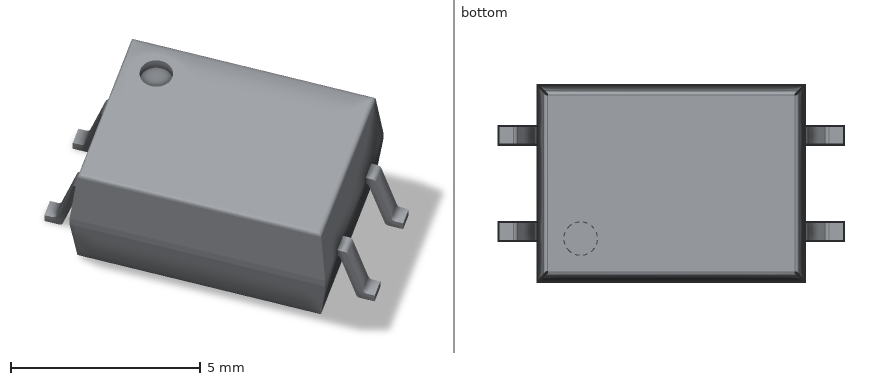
import cadquery as cq
import math

overall_length = 9.14
lead_thickness = 0.25
lead_width = 0.5
lead_pitch = 2.54
lead_top = 1.81
lead_lean = 17.2
foot_length = 0.3
lead_bend_radius = 0.12
shoulder_inner_radius = 0.07
bend_search_margin = 0.01

body_length = 7.07
body_width = 5.2
body_top = 3.5
body_standoff = 0.05
wall_inset = 0.17
edge_radius = 0.1

mark_diameter = 0.89
mark_depth = 0.31
mark_edge_distance = 1.14

band_bottom = lead_top - lead_thickness


def tapered_half(start_height, end_height):
    """Half of the housing, narrowing from the parting band to a rounded end face."""
    end_face = ">Z" if end_height > start_height else "<Z"
    return (
        cq.Workplane("XY", origin=(0, 0, start_height))
        .rect(body_length, body_width)
        .workplane(offset=end_height - start_height)
        .rect(body_length - 2 * wall_inset, body_width - 2 * wall_inset)
        .loft(ruled=True)
        .faces(end_face)
        .edges()
        .fillet(edge_radius)
    )


def make_housing():
    """Housing with a straight band at lead height and a round pin-one recess."""
    band = (
        cq.Workplane("XY", origin=(0, 0, band_bottom))
        .rect(body_length, body_width)
        .extrude(lead_thickness)
    )
    mark_x = mark_edge_distance - body_length / 2
    mark_y = body_width / 2 - mark_edge_distance
    mark = (
        cq.Workplane("XY", origin=(mark_x, mark_y, body_top - mark_depth))
        .circle(mark_diameter / 2)
        .extrude(mark_depth)
    )
    upper_half = tapered_half(lead_top, body_top)
    lower_half = tapered_half(band_bottom, body_standoff)
    return band.union(upper_half).union(lower_half).cut(mark)


def make_left_lead(y_center):
    """Gull-wing lead of constant thickness, ending against the -X wall of the band."""
    lean = math.radians(lead_lean)
    leg_run = band_bottom * math.tan(lean)
    corner_shift = lead_thickness * (1 / math.cos(lean) - math.tan(lean))

    tip_x = -overall_length / 2
    wall_x = -body_length / 2
    foot_x = tip_x + foot_length
    shoulder_x = foot_x + leg_run
    heel_x = foot_x + corner_shift
    armpit_x = shoulder_x + corner_shift

    def bend(x, z):
        return cq.selectors.BoxSelector(
            (x - bend_search_margin, y_center - lead_width, z - bend_search_margin),
            (x + bend_search_margin, y_center + lead_width, z + bend_search_margin),
        )

    blank = (
        cq.Workplane("XZ", origin=(0, y_center, 0))
        .moveTo(tip_x, 0)
        .lineTo(heel_x, 0)
        .lineTo(armpit_x, band_bottom)
        .lineTo(wall_x, band_bottom)
        .lineTo(wall_x, lead_top)
        .lineTo(shoulder_x, lead_top)
        .lineTo(foot_x, lead_thickness)
        .lineTo(tip_x, lead_thickness)
        .close()
        .extrude(lead_width / 2, both=True)
    )
    outer_bends = bend(heel_x, 0) + bend(shoulder_x, lead_top) + bend(foot_x, lead_thickness)
    rounded = blank.edges(outer_bends).fillet(lead_bend_radius)
    return rounded.edges(bend(armpit_x, band_bottom)).fillet(shoulder_inner_radius)


housing = make_housing()

leads = []
for y_side in (-1, 1):
    left_lead = make_left_lead(y_side * lead_pitch / 2)
    right_lead = left_lead.mirror("YZ")
    leads.append(left_lead.val())
    leads.append(right_lead.val())

result = cq.Compound.makeCompound([housing.val(), *leads])